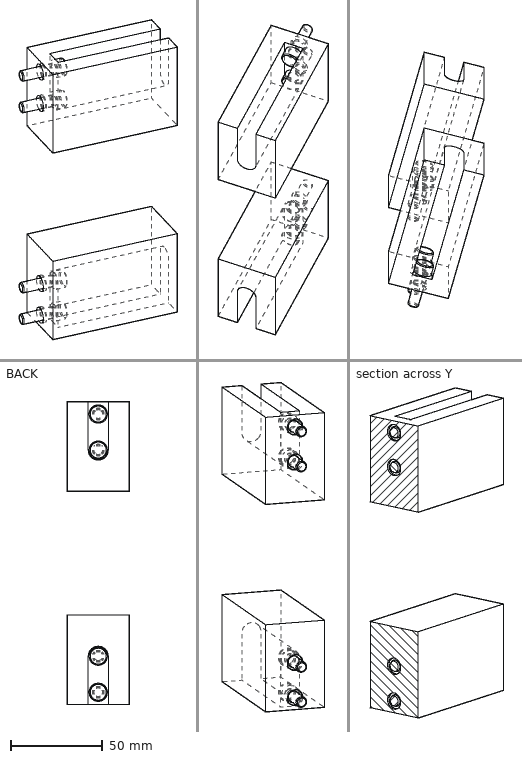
import cadquery as cq

total_height = 166.0
block_width = 34.0
block_depth = 75.0
block_height = 49.1

shank_diameter = 6.0
shank_length = 20.0
head_diameter = 10.0
head_height = 6.0
edge_chamfer = 0.6

first_screw_offset = 6.8
screw_pitch = 19.8
screw_offsets = [first_screw_offset, first_screw_offset + screw_pitch]

wall_thickness = 8.5
slot_width = 11.0
hole_diameter = 6.5
relief_diameter = 9.0
relief_depth = 2.0


def cylinder_along_y(diameter, length, start_y, center_z):
    """Cylinder on the middle plane of the block, running from start_y toward +Y."""
    start = cq.Vector(0, start_y, center_z)
    return cq.Workplane(cq.Solid.makeCylinder(diameter / 2, length, start, cq.Vector(0, 1, 0)))


def make_slot():
    """Slot open at the top and back, with a round floor centred on the deeper screw."""
    slot_length = block_depth - wall_thickness
    floor_center_z = -screw_offsets[-1]
    channel = cq.Workplane().box(slot_width, slot_length, -floor_center_z, centered=(True, False, False))
    channel = channel.translate((0, wall_thickness, floor_center_z))
    return channel.union(cylinder_along_y(slot_width, slot_length, wall_thickness, floor_center_z))


def make_block():
    """Block with its slotted face at Z = 0 and its front face at Y = 0."""
    block = cq.Workplane().box(block_width, block_depth, block_height, centered=(True, False, False))
    block = block.translate((0, 0, -block_height)).cut(make_slot())
    for offset in screw_offsets:
        block = block.cut(cylinder_along_y(hole_diameter, wall_thickness, 0, -offset))
        block = block.cut(cylinder_along_y(relief_diameter, relief_depth, 0, -offset))
    return block


def make_screw(offset):
    """Cap screw whose head rests on the slot end wall and whose tip points to -Y."""
    shank = cylinder_along_y(shank_diameter, shank_length, wall_thickness - shank_length, -offset)
    shank = shank.faces("<Y").chamfer(edge_chamfer)
    head = cylinder_along_y(head_diameter, head_height, wall_thickness, -offset)
    head = head.faces(">Y").chamfer(edge_chamfer)
    return shank.union(head)


upper_block = make_block()
lower_block = upper_block.mirror("XY").translate((0, 0, -total_height))

upper_screws = [make_screw(offset) for offset in screw_offsets]
lower_screws = [screw.mirror("XY").translate((0, 0, -total_height)) for screw in upper_screws]
screws = upper_screws + lower_screws

result = cq.Compound.makeCompound(
    [upper_block.val(), lower_block.val(), *[screw.val() for screw in screws]]
)